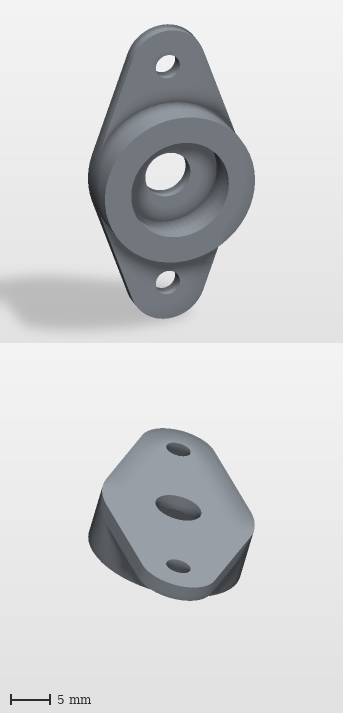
import cadquery as cq
import math

length = 39.98
boss_radius = 10.0
end_radius = 5.0
plate_thickness = 2.0
total_depth = 7.0
bore_diameter = 6.0
pocket_diameter = 13.0
mount_hole_diameter = 3.2

mount_offset = length / 2 - end_radius

flank_sin = (boss_radius - end_radius) / mount_offset
flank_cos = math.sqrt(1 - flank_sin**2)
middle_y = boss_radius * flank_cos
middle_z = boss_radius * flank_sin
end_y = end_radius * flank_cos
end_z = mount_offset + end_radius * flank_sin


def make_plate():
    """Rounded diamond flange."""
    return (
        cq.Workplane("YZ")
        .moveTo(middle_y, -middle_z)
        .threePointArc((boss_radius, 0), (middle_y, middle_z))
        .lineTo(end_y, end_z)
        .threePointArc((0, length / 2), (-end_y, end_z))
        .lineTo(-middle_y, middle_z)
        .threePointArc((-boss_radius, 0), (-middle_y, -middle_z))
        .lineTo(-end_y, -end_z)
        .threePointArc((0, -length / 2), (end_y, -end_z))
        .close()
        .extrude(plate_thickness)
    )


def x_cylinder(diameter, z=0, start=0):
    """Cylinder along X from the start position to the rear of the part."""
    disc = cq.Workplane("YZ", origin=(start, 0, z)).circle(diameter / 2)
    return disc.extrude(total_depth - start)


result = make_plate().union(x_cylinder(2 * boss_radius))
result = result.cut(x_cylinder(bore_diameter))
result = result.cut(x_cylinder(pocket_diameter, start=plate_thickness))
for side in (-1, 1):
    result = result.cut(x_cylinder(mount_hole_diameter, side * mount_offset))